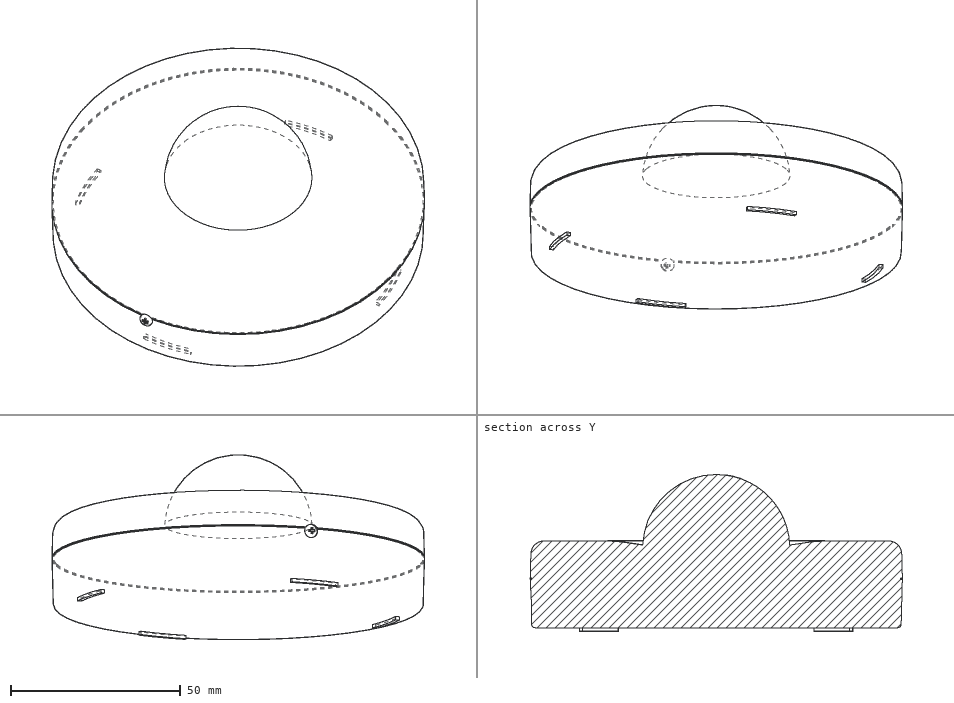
import cadquery as cq
import math

FULL_TURN = 360

OVERALL_HEIGHT = 46.35
RIM_RADIUS = 55.0
FOOT_HEIGHT = 1.0
TOP_Z = 26.75
PARTING_Z = 15.75
DRAFT = math.radians(1.5)

TOP_FILLET = 4.0
BOTTOM_FILLET = 1.2
GROOVE_WIDTH = 0.35
GROOVE_DEPTH = 0.4

DOME_RADIUS = 21.8
DISH_OUTER_RADIUS = 31.9
DISH_INNER_RADIUS = 28.0
DISH_OUTER_DROP = 0.28
DISH_DROP = 1.2

FOOT_COUNT = 4
FOOT_OUTER_RADIUS = 50.0
FOOT_WIDTH = 1.2
FOOT_HALF_ANGLE = 8.8
FIRST_FOOT_ANGLE = 45.0

SCREW_ANGLE = -49.3
SCREW_Z = 14.6
SCREW_HEAD_DIAMETER = 3.9
SCREW_HEAD_REACH = 56.1
SCREW_HEAD_ROUND = 0.75
SCREW_ROOT_RADIUS = 53.0
RECESS_LENGTH = 1.8
RECESS_WIDTH = 0.5
RECESS_DEPTH = 0.6


def make_housing():
    """Drafted round housing with rounded rims, a dished top and a parting groove."""
    top_radius = RIM_RADIUS - (TOP_Z - PARTING_Z) * math.tan(DRAFT)
    bottom_radius = RIM_RADIUS - (PARTING_Z - FOOT_HEIGHT) * math.tan(DRAFT)
    body = (
        cq.Workplane("XZ")
        .moveTo(0, FOOT_HEIGHT)
        .lineTo(bottom_radius, FOOT_HEIGHT)
        .lineTo(RIM_RADIUS, PARTING_Z)
        .lineTo(top_radius, TOP_Z)
        .lineTo(0, TOP_Z)
        .close()
        .revolve(FULL_TURN, (0, 0), (0, 1))
    )
    body = body.faces(">Z").edges().fillet(TOP_FILLET)
    body = body.faces("<Z").edges().fillet(BOTTOM_FILLET)
    return body.cut(make_dish()).cut(make_parting_groove())


def make_dish():
    """Shallow two-slope cone sunk into the top; the dome covers its flat middle."""
    return (
        cq.Workplane("XZ")
        .moveTo(0, TOP_Z)
        .lineTo(DISH_OUTER_RADIUS, TOP_Z)
        .lineTo(DISH_INNER_RADIUS, TOP_Z - DISH_OUTER_DROP)
        .lineTo(DOME_RADIUS, TOP_Z - DISH_DROP)
        .lineTo(0, TOP_Z - DISH_DROP)
        .close()
        .revolve(FULL_TURN, (0, 0), (0, 1))
    )


def make_parting_groove():
    """Thin ring just below the widest line, between the two housing halves."""
    return (
        cq.Workplane("XY", origin=(0, 0, PARTING_Z - GROOVE_WIDTH))
        .circle(RIM_RADIUS + GROOVE_DEPTH)
        .circle(RIM_RADIUS - GROOVE_DEPTH)
        .extrude(GROOVE_WIDTH)
    )


def make_dome():
    """Spherical lens whose lower part stays inside the housing."""
    center_z = OVERALL_HEIGHT - DOME_RADIUS
    return cq.Workplane("XY").sphere(DOME_RADIUS).translate((0, 0, center_z))


def polar_point(radius, angle):
    return (radius * math.cos(math.radians(angle)), radius * math.sin(math.radians(angle)))


def make_foot(middle_angle):
    """Arc-shaped pad that reaches from Z = 0 up to the underside."""
    start = middle_angle - FOOT_HALF_ANGLE
    end = middle_angle + FOOT_HALF_ANGLE
    inner_radius = FOOT_OUTER_RADIUS - FOOT_WIDTH
    return (
        cq.Workplane("XY")
        .moveTo(*polar_point(FOOT_OUTER_RADIUS, start))
        .threePointArc(polar_point(FOOT_OUTER_RADIUS, middle_angle), polar_point(FOOT_OUTER_RADIUS, end))
        .lineTo(*polar_point(inner_radius, end))
        .threePointArc(polar_point(inner_radius, middle_angle), polar_point(inner_radius, start))
        .close()
        .extrude(FOOT_HEIGHT)
    )


def make_screw():
    """Round-headed screw with a cross recess, pointing outwards along its own radius."""
    head = (
        cq.Workplane("YZ", origin=(SCREW_ROOT_RADIUS, 0, SCREW_Z))
        .circle(SCREW_HEAD_DIAMETER / 2)
        .extrude(SCREW_HEAD_REACH - SCREW_ROOT_RADIUS)
        .faces(">X")
        .edges()
        .fillet(SCREW_HEAD_ROUND)
    )
    recess = (
        cq.Workplane("YZ", origin=(SCREW_HEAD_REACH - RECESS_DEPTH, 0, SCREW_Z))
        .rect(RECESS_LENGTH, RECESS_WIDTH)
        .extrude(RECESS_DEPTH)
    )
    head = head.cut(recess).cut(recess.rotate((0, 0, SCREW_Z), (1, 0, SCREW_Z), FULL_TURN / 4))
    return head.rotate((0, 0, 0), (0, 0, 1), SCREW_ANGLE)


result = make_housing().union(make_dome())
for foot in range(FOOT_COUNT):
    result = result.union(make_foot(FIRST_FOOT_ANGLE + foot * FULL_TURN / FOOT_COUNT))
result = result.union(make_screw())